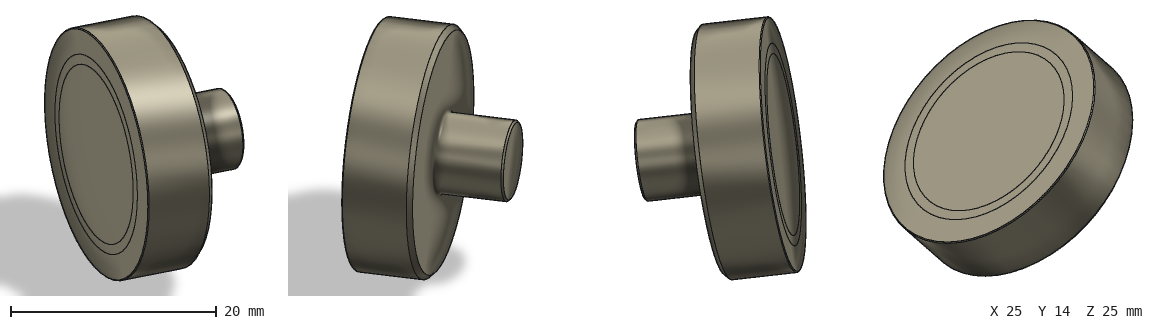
import cadquery as cq

pot_diameter = 25.0
pot_height = 7.0
stem_diameter = 8.0
stem_height = 7.0
total_height = pot_height + stem_height

back_chamfer = 0.5
face_chamfer = 0.1
stem_chamfer = 0.2
stem_root_fillet = 0.5

magnet_diameter = 17.8
ring_diameter = 19.8
recess_depth = 5.0

face_y = -total_height / 2
back_y = face_y + pot_height
stem_end_y = face_y + total_height


def make_disc(diameter, start_y, end_y):
    """Solid cylinder on the Y axis, between two Y positions."""
    plane = cq.Workplane("XZ", origin=(0, start_y, 0))
    return plane.circle(diameter / 2).extrude(start_y - end_y)


def make_housing():
    """Pot and stem turned from one profile, with a recess in the magnetic face."""
    pot_radius = pot_diameter / 2
    stem_radius = stem_diameter / 2
    fillet_middle = stem_root_fillet * (1 - 0.5 ** 0.5)
    profile = (
        cq.Workplane("XY")
        .moveTo(0, face_y)
        .lineTo(pot_radius - face_chamfer, face_y)
        .lineTo(pot_radius, face_y + face_chamfer)
        .lineTo(pot_radius, back_y - back_chamfer)
        .lineTo(pot_radius - back_chamfer, back_y)
        .lineTo(stem_radius + stem_root_fillet, back_y)
        .threePointArc(
            (stem_radius + fillet_middle, back_y + fillet_middle),
            (stem_radius, back_y + stem_root_fillet),
        )
        .lineTo(stem_radius, stem_end_y - stem_chamfer)
        .lineTo(stem_radius - stem_chamfer, stem_end_y)
        .lineTo(0, stem_end_y)
        .close()
    )
    body = profile.revolve(360, (0, 0, 0), (0, 1, 0))
    return body.cut(make_disc(ring_diameter, face_y, face_y + recess_depth))


def make_ring():
    """Seating ring that fills the gap between the magnet and the pot wall."""
    outer = make_disc(ring_diameter, face_y, face_y + recess_depth)
    return outer.cut(make_disc(magnet_diameter, face_y, face_y + recess_depth))


def make_magnet():
    """Disc magnet, flush with the magnetic face."""
    return make_disc(magnet_diameter, face_y, face_y + recess_depth)


housing = make_housing()
ring = make_ring()
magnet = make_magnet()

result = cq.Compound.makeCompound([housing.val(), ring.val(), magnet.val()])